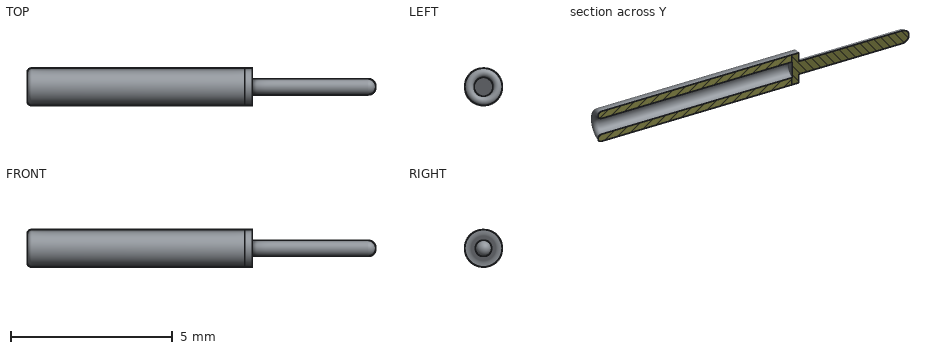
import cadquery as cq

total_length = 10.79
barrel_diameter = 1.17
bore_diameter = 0.58
collar_length = 0.24
pin_diameter = 0.51
pin_length = 3.82

barrel_radius = barrel_diameter / 2
bore_radius = bore_diameter / 2
rim_radius = (barrel_radius - bore_radius) / 2
pin_radius = pin_diameter / 2
open_end_x = -total_length / 2
tip_x = total_length / 2
collar_end_x = tip_x - pin_length
collar_start_x = collar_end_x - collar_length


def turn(profile):
    """Revolve a closed XY profile a full turn about the X axis."""
    return profile.revolve(360, (0, 0, 0), (1, 0, 0))


def make_barrel():
    """Tube with a fully rounded rim at its open end, closed at the other end by the plunger collar."""
    rim_start_x = open_end_x + rim_radius
    profile = (
        cq.Workplane("XY")
        .moveTo(collar_start_x, bore_radius)
        .lineTo(rim_start_x, bore_radius)
        .threePointArc((open_end_x, bore_radius + rim_radius), (rim_start_x, barrel_radius))
        .lineTo(collar_start_x, barrel_radius)
        .close()
    )
    return turn(profile)


def make_plunger():
    """Collar flush with the barrel, carrying a slim pin with a hemispherical tip."""
    dome_start_x = tip_x - pin_radius
    profile = (
        cq.Workplane("XY")
        .moveTo(collar_start_x, 0)
        .lineTo(collar_start_x, barrel_radius)
        .lineTo(collar_end_x, barrel_radius)
        .lineTo(collar_end_x, pin_radius)
        .lineTo(dome_start_x, pin_radius)
        .radiusArc((tip_x, 0), pin_radius)
        .close()
    )
    return turn(profile)


barrel = make_barrel()
plunger = make_plunger()

result = cq.Compound.makeCompound([barrel.val(), plunger.val()])